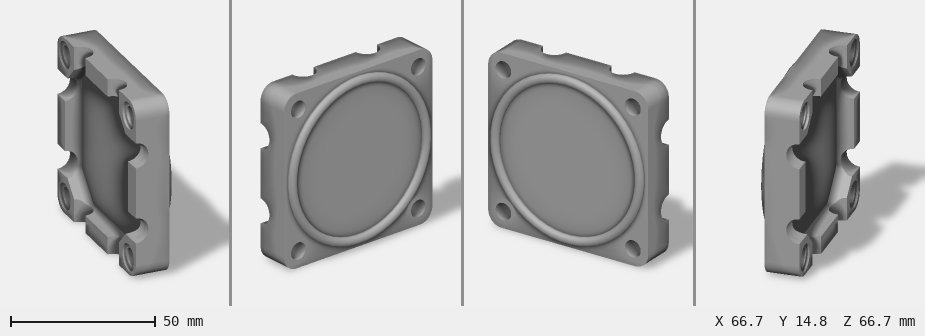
import cadquery as cq

cover_side = 66.675
cover_depth = 12.7
corner_radius = 5.556

pocket_side = 53.5
pocket_depth = 6.35
pocket_corner_cut = 9.8
pocket_vertex_radius = 2.5

notch_radius = 4.7625
notch_spacing = 28.575

hole_spacing = 53.975
hole_diameter = 6.53
counterbore_diameter = 10.0
counterbore_depth = 0.8

ring_inner_diameter = 56.74
cord_diameter = 3.53
ring_protrusion = 2.13
cord_radius = cord_diameter / 2
ring_radius = ring_inner_diameter / 2 + cord_radius
ring_centre_y = cover_depth + ring_protrusion - cord_radius


def slab(front_y, depth):
    """Workplane at front_y whose local axes are global X and Z, and the signed extrusion towards +Y."""
    return cq.Workplane("XZ", origin=(0, front_y, 0)), -depth


def make_block():
    plane, extent = slab(0, cover_depth)
    return plane.rect(cover_side, cover_side).extrude(extent).edges("|Y").fillet(corner_radius)


def make_pocket():
    plane, extent = slab(0, pocket_depth)
    square = plane.rect(pocket_side, pocket_side).extrude(extent)
    octagon = square.edges("|Y").chamfer(pocket_corner_cut)
    return octagon.edges("|Y").fillet(pocket_vertex_radius)


def make_notches():
    """Two bars along Z and two along X, each crossing both opposite walls."""
    bars = cq.Workplane("XY")
    for offset in (-notch_spacing / 2, notch_spacing / 2):
        for plane_name, centre in (("XY", (offset, 0)), ("YZ", (0, offset))):
            bar = cq.Workplane(plane_name).center(*centre).circle(notch_radius)
            bars = bars.add(bar.extrude(cover_side / 2, both=True))
    return bars.combine()


def make_corner_holes(diameter, depth):
    plane, extent = slab(0, depth)
    centres = plane.rect(hole_spacing, hole_spacing, forConstruction=True).vertices()
    return centres.circle(diameter / 2).extrude(extent)


def make_sealing_ring():
    """Torus about the Y axis, standing proud of the back face."""
    centre = cq.Vector(0, ring_centre_y, 0)
    axis = cq.Vector(0, 1, 0)
    torus = cq.Solid.makeTorus(ring_radius, cord_radius, centre, axis)
    return cq.Workplane(obj=torus)


def make_cover(ring):
    return (
        make_block()
        .cut(make_pocket())
        .cut(make_notches())
        .cut(make_corner_holes(hole_diameter, cover_depth))
        .cut(make_corner_holes(counterbore_diameter, counterbore_depth))
        .cut(ring)
    )


sealing_ring = make_sealing_ring()
cover = make_cover(sealing_ring)

result = cq.Compound.makeCompound([cover.val(), sealing_ring.val()])